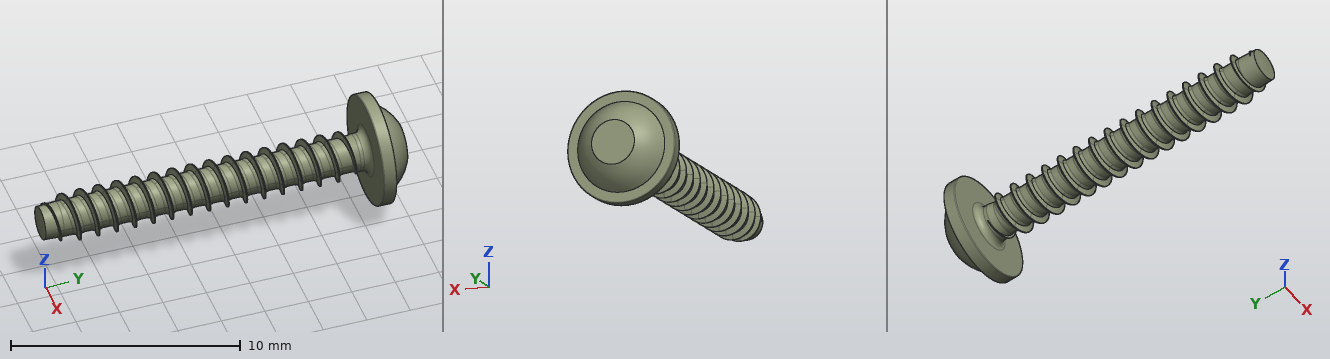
import cadquery as cq
import math

length = 16.6
tip_cone_height = 0.03

head_flat_radius = 1.0
cap_base_radius = 2.03
cap_height = 1.01
flange_diameter = 5.0
flange_thickness = 0.6
flange_edge_round = 0.03
bearing_depth = cap_height + flange_thickness

neck_radius = 0.85
neck_fillet = 0.33
neck_length = 0.17
neck_cone_length = 0.35
neck_end_depth = bearing_depth + neck_fillet + neck_length
core_diameter = 1.58
core_start_depth = neck_end_depth + neck_cone_length
tip_radius = 0.75
tip_taper_length = 0.83
tip_rim_depth = length - tip_cone_height

crest_radius = 1.1
crest_half_width = 0.025
flank_foot_radius = 0.83
flank_foot_half_width = 0.1
flare_radius = 0.76
flare_half_width = 0.35
root_radius = 0.5
root_half_width = 0.13
thread_start_depth = 1.93
thread_length = 14.45
thread_turns = 17
pitch = thread_length / thread_turns
start_angle = math.pi
run_in_turns = 1.0
run_out_turns = 1.25
run_in_sink = 0.28
run_out_sink = 0.3
segment_turns = 0.25
spline_steps = 6


def turned_body():
    """Head, flange, neck and core as one revolved profile."""
    sphere_depth = (cap_base_radius**2 + cap_height**2 - head_flat_radius**2) / (2 * cap_height)
    sphere_radius = math.hypot(head_flat_radius, sphere_depth)
    mid_depth = cap_height / 2
    mid_radius = math.sqrt(sphere_radius**2 - (sphere_depth - mid_depth) ** 2)
    fillet_mid = neck_fillet * (1 - math.sqrt(0.5))
    profile = (
        cq.Workplane("XY")
        .lineTo(head_flat_radius, 0)
        .threePointArc((mid_radius, -mid_depth), (cap_base_radius, -cap_height))
        .lineTo(flange_diameter / 2, -cap_height)
        .lineTo(flange_diameter / 2, -bearing_depth)
        .lineTo(neck_radius + neck_fillet, -bearing_depth)
        .threePointArc(
            (neck_radius + fillet_mid, -bearing_depth - fillet_mid),
            (neck_radius, -bearing_depth - neck_fillet),
        )
        .lineTo(neck_radius, -neck_end_depth)
        .lineTo(core_diameter / 2, -core_start_depth)
        .lineTo(core_diameter / 2, -(tip_rim_depth - tip_taper_length))
        .lineTo(tip_radius, -tip_rim_depth)
        .lineTo(0, -length)
        .close()
    )
    body = profile.revolve(360, (0, 0, 0), (0, 1, 0))
    return body.edges(cq.selectors.RadiusNthSelector(-1)).fillet(flange_edge_round)


def thread_sink(turn):
    """How far the thread profile is pulled inward at a given turn."""
    run_in = max(0.0, 1 - turn / run_in_turns)
    run_out = max(0.0, 1 - (thread_turns - turn) / run_out_turns)
    return run_in_sink * run_in + run_out_sink * run_out


def thread_point(turn, radius, offset):
    """Point on the path of one profile corner; offset is along the axis, toward the head."""
    angle = start_angle + 2 * math.pi * turn
    sink = thread_sink(turn)
    reach = radius - sink
    narrowing = 1 - sink / (crest_radius - root_radius)
    depth = thread_start_depth + pitch * turn
    return cq.Vector(reach * math.cos(angle), offset * narrowing - depth, reach * math.sin(angle))


def thread_edge(start, radius, offset):
    """One segment of the helix of one profile corner."""
    turns = [start + segment_turns * step / spline_steps for step in range(spline_steps + 1)]
    return cq.Edge.makeSpline([thread_point(turn, radius, offset) for turn in turns])


def thread_ridge():
    """Solid ridge bounded by ruled helical faces and two flat ends."""
    half_profile = [
        (crest_radius, crest_half_width),
        (flank_foot_radius, flank_foot_half_width),
        (flare_radius, flare_half_width),
        (root_radius, root_half_width),
    ]
    corners = half_profile + [(radius, -offset) for radius, offset in reversed(half_profile)]
    faces = []
    for segment in range(round(thread_turns / segment_turns)):
        start = segment * segment_turns
        edges = [thread_edge(start, radius, offset) for radius, offset in corners]
        faces += [cq.Face.makeRuledSurface(edges[i - 1], edges[i]) for i in range(len(edges))]
    for turn in (0, thread_turns):
        outline = [thread_point(turn, radius, offset) for radius, offset in corners]
        faces.append(cq.Face.makeFromWires(cq.Wire.makePolygon(outline, close=True)))
    return cq.Solid.makeSolid(cq.Shell.makeShell(faces))


result = turned_body().union(cq.Workplane(thread_ridge()))